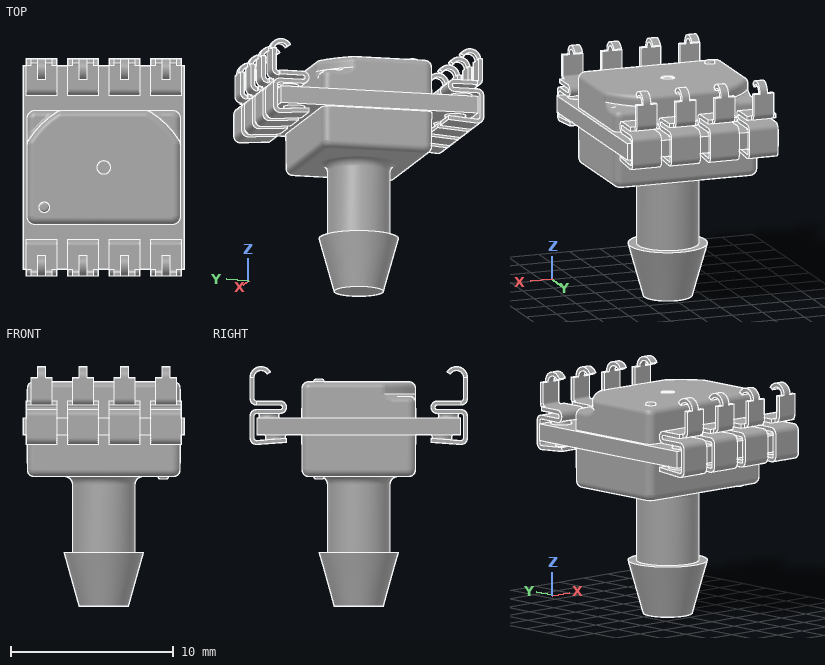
import cadquery as cq
import math


BOARD_X = 9.9
BOARD_Y = 12.5
BOARD_Z = 1.05

BODY_X = 9.42
BODY_Y = 7.0
BODY_TOP = 3.27
BODY_BOTTOM = -2.56
DRAFT_ANGLE = 0.5
CORNER_RADIUS = 0.5
EDGE_RADIUS = 0.41

LEDGE_Z = 2.37
LEDGE_WALL_RADIUS = 5.45
LEDGE_WALL_Y = -1.22
LEDGE_ROOT_RADIUS = 0.15

TOLERANCE = 0.001

VENT_DIAMETER = 0.82
VENT_DEPTH = 0.07
MARK_X = 3.65
MARK_Y = -2.45
MARK_RADIUS = 0.32
MARK_HEIGHT = 0.16
MARK_FLAT_RADIUS = MARK_RADIUS - MARK_HEIGHT

TUBE_RADIUS = 1.93
FLARE_RADIUS = 0.49
BARB_RADIUS = 2.45
BARB_TIP_RADIUS = 1.52
BARB_LENGTH = 3.31
TIP_Z = -10.52

LEADS_PER_ROW = 4
LEAD_PITCH = 2.55
LEAD_OUTER_Y = 13.35 / 2
LEAD_INNER_Y = 4.43
LEAD_THICKNESS = 0.25
CLIP_WIDTH = 1.88
RISER_WIDTH = 1.31
HOOK_WIDTH = 0.5
LEAD_TOP = 4.2
HOOK_OUTER_RADIUS = 0.68
HOOK_END_ANGLE = 30
BEND_RADIUS = 0.28
LEG_ANGLE = 4.2
LEG_BEND_Z = -0.19
FOLD_GAP = 0.26

SOLDER_RADIUS = 0.66
SOLDER_WAIST_RADIUS = 0.6
UPPER_SOLDER_Y = 5.5
UPPER_SOLDER_HEIGHT = 0.26
LOWER_SOLDER_Y = 5.11
LOWER_SOLDER_HEIGHT = 0.34


def body_block(start_z, height):
    """Drafted block with rounded corners; a negative height grows downward."""
    block = cq.Workplane("XY").rect(BODY_X, BODY_Y).extrude(abs(height), taper=DRAFT_ANGLE)
    block = block.edges("not(|X or |Y)").fillet(CORNER_RADIUS)
    if height < 0:
        block = block.mirror("XY")
    return block.translate((0, 0, start_z))


def is_wall_arc(edge):
    return edge.geomType() == "CIRCLE" and edge.radius() > LEDGE_WALL_RADIUS - TOLERANCE


def is_ledge_root(edge):
    return is_wall_arc(edge) and abs(edge.Center().z - LEDGE_Z) < TOLERANCE


def is_ledge_outline(edge):
    """True for ledge edges on the outside of the body, False for those along the round wall."""
    bounds = edge.BoundingBox()
    at_ledge = abs(bounds.zmin - LEDGE_Z) < TOLERANCE and abs(bounds.zmax - LEDGE_Z) < TOLERANCE
    return at_ledge and not is_wall_arc(edge)


def make_upper_body():
    full_height = BODY_TOP - BOARD_Z
    wall = (
        cq.Workplane("XY", origin=(0, LEDGE_WALL_Y, BOARD_Z))
        .circle(LEDGE_WALL_RADIUS)
        .extrude(full_height)
    )
    crown = body_block(BOARD_Z, full_height).intersect(wall)
    body = crown.union(body_block(BOARD_Z, LEDGE_Z - BOARD_Z))
    body = body.edges().filter(is_ledge_root).fillet(LEDGE_ROOT_RADIUS)
    body = body.faces(">Z").edges().fillet(EDGE_RADIUS)
    body = body.edges().filter(is_ledge_outline).fillet(EDGE_RADIUS)
    vent = (
        cq.Workplane("XY", origin=(0, 0, BODY_TOP - VENT_DEPTH))
        .circle(VENT_DIAMETER / 2)
        .extrude(VENT_DEPTH)
    )
    return body.cut(vent)


def make_lower_body():
    return body_block(0, BODY_BOTTOM).faces("<Z").edges().fillet(EDGE_RADIUS)


def make_mark():
    """Domed dot with a small flat top, standing on Z = 0."""
    middle = math.radians(45)
    return (
        cq.Workplane("XZ")
        .lineTo(MARK_RADIUS, 0)
        .threePointArc(
            (
                MARK_FLAT_RADIUS + MARK_HEIGHT * math.cos(middle),
                MARK_HEIGHT * math.sin(middle),
            ),
            (MARK_FLAT_RADIUS, MARK_HEIGHT),
        )
        .lineTo(0, MARK_HEIGHT)
        .close()
        .revolve(360, (0, 0), (0, 1))
    )


def make_port():
    barb_top = TIP_Z + BARB_LENGTH
    flare_start = BODY_BOTTOM - FLARE_RADIUS
    flare_offset = FLARE_RADIUS * (1 - math.cos(math.radians(45)))
    return (
        cq.Workplane("XZ")
        .moveTo(0, TIP_Z)
        .lineTo(BARB_TIP_RADIUS, TIP_Z)
        .lineTo(BARB_RADIUS, barb_top)
        .lineTo(TUBE_RADIUS, barb_top)
        .lineTo(TUBE_RADIUS, flare_start)
        .threePointArc(
            (TUBE_RADIUS + flare_offset, BODY_BOTTOM - flare_offset),
            (TUBE_RADIUS + FLARE_RADIUS, BODY_BOTTOM),
        )
        .lineTo(0, BODY_BOTTOM)
        .close()
        .revolve(360, (0, 0), (0, 1))
    )


def sweep_strip(path, width):
    """Flat strip whose centre line is a path in the YZ plane."""
    centre_line = path.wire()
    wire = centre_line.val()
    section = cq.Plane(origin=wire.startPoint(), xDir=(1, 0, 0), normal=wire.tangentAt(0))
    return cq.Workplane(section).rect(width, LEAD_THICKNESS).sweep(centre_line)


def make_lead():
    half = LEAD_THICKNESS / 2
    outer_y = LEAD_OUTER_Y - half
    bend_y = outer_y - BEND_RADIUS
    fold_rise = LEAD_THICKNESS + FOLD_GAP
    fold_y = LEAD_INNER_Y + half + fold_rise / 2
    lower_shelf_z = BOARD_Z + UPPER_SOLDER_HEIGHT + half
    upper_shelf_z = lower_shelf_z + fold_rise

    leg_angle = math.radians(LEG_ANGLE)
    leg_end_y = bend_y - BEND_RADIUS * math.sin(leg_angle)
    leg_end_z = LEG_BEND_Z - BEND_RADIUS * math.cos(leg_angle)
    leg_tip_z = leg_end_z + (leg_end_y - LEAD_INNER_Y) * math.tan(leg_angle)
    clip_path = (
        cq.Workplane("YZ")
        .moveTo(LEAD_INNER_Y, leg_tip_z)
        .lineTo(leg_end_y, leg_end_z)
        .tangentArcPoint((outer_y, LEG_BEND_Z), relative=False)
        .lineTo(outer_y, lower_shelf_z - BEND_RADIUS)
        .tangentArcPoint((bend_y, lower_shelf_z), relative=False)
        .lineTo(fold_y, lower_shelf_z)
        .tangentArcPoint((fold_y, upper_shelf_z), relative=False)
        .lineTo(bend_y, upper_shelf_z)
    )

    hook_z = LEAD_TOP - HOOK_OUTER_RADIUS
    riser_path = (
        cq.Workplane("YZ")
        .moveTo(outer_y, hook_z)
        .lineTo(outer_y, upper_shelf_z + BEND_RADIUS)
        .tangentArcPoint((bend_y, upper_shelf_z), relative=False)
    )

    hook_radius = HOOK_OUTER_RADIUS - half
    hook_y = outer_y - hook_radius
    hook_end = math.radians(HOOK_END_ANGLE)
    hook_path = (
        cq.Workplane("YZ")
        .moveTo(outer_y, hook_z)
        .threePointArc(
            (hook_y, hook_z + hook_radius),
            (hook_y - hook_radius * math.cos(hook_end), hook_z + hook_radius * math.sin(hook_end)),
        )
    )

    clip = sweep_strip(clip_path, CLIP_WIDTH)
    riser = sweep_strip(riser_path, RISER_WIDTH)
    hook = sweep_strip(hook_path, HOOK_WIDTH)
    return clip.union(riser).union(hook)


def make_solder(y, bottom_z, height):
    """Round solder joint with a hollowed side."""
    profile = (
        cq.Workplane("XZ")
        .lineTo(SOLDER_RADIUS, 0)
        .threePointArc((SOLDER_WAIST_RADIUS, height / 2), (SOLDER_RADIUS, height))
        .lineTo(0, height)
        .close()
    )
    return profile.revolve(360, (0, 0), (0, 1)).translate((0, y, bottom_z))


board = cq.Workplane("XY").box(BOARD_X, BOARD_Y, BOARD_Z, centered=(True, True, False))
mark = make_mark()
top_mark = mark.translate((-MARK_X, MARK_Y, BODY_TOP))
bottom_mark = mark.mirror("XY").translate((MARK_X, MARK_Y, BODY_BOTTOM))

result = board.union(make_upper_body()).union(make_lower_body()).union(make_port())
result = result.union(top_mark).union(bottom_mark)

lead = (
    make_lead()
    .union(make_solder(UPPER_SOLDER_Y, BOARD_Z, UPPER_SOLDER_HEIGHT))
    .union(make_solder(LOWER_SOLDER_Y, -LOWER_SOLDER_HEIGHT, LOWER_SOLDER_HEIGHT))
)
for index in range(LEADS_PER_ROW):
    lead_x = (index - (LEADS_PER_ROW - 1) / 2) * LEAD_PITCH
    placed_lead = lead.translate((lead_x, 0, 0))
    result = result.union(placed_lead).union(placed_lead.mirror("XZ"))